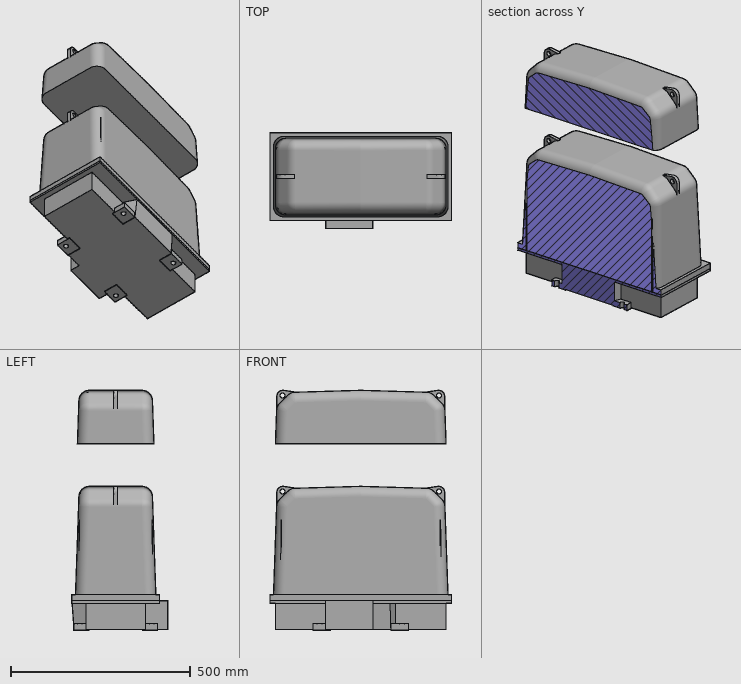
import cadquery as cq
import math

BASE_BOTTOM = 2.0
RIM_BOTTOM = 75.0
PARTING_HEIGHT = 82.5
FLANGE_TOP = 99.0
COVER_PEAK = 402.0
CAP_LIFT = 268.0
CAP_BOTTOM = 520.0

FLANGE_LENGTH = 507.0
FLANGE_WIDTH = 245.0

HOOD_LENGTH = 488.0
HOOD_WIDTH = 225.0
DRAFT_ANGLE = 2.0
ROOF_ANGLE = 1.7
END_CHAMFER = 38.0
EDGE_RADIUS = 30.0

LUG_THICKNESS = 11.5
LUG_REACH = 234.5
LUG_RADIUS = 17.5
LUG_CENTER_HEIGHT = 384.5
LUG_BOTTOM = 335.0
LUG_ROOT = 185.0
LUG_ROOT_HEIGHT = 397.5
LUG_HOLE_X = 218.5
LUG_HOLE_HEIGHT = 387.0
LUG_HOLE_DIAMETER = 13.5

CORNER_HOLE_X = 222.5
CORNER_HOLE_Y = 102.0
CORNER_HOLE_DIAMETER = 2.0

BOX_LENGTH = 477.0
BOX_WIDTH = 166.0
BULGE_ROOT_LENGTH = 194.0
BULGE_TIP_LENGTH = 163.5
BULGE_TIP_Y = 122.0
BULGE_BOTTOM_Y = 116.5
TERMINAL_LEFT = -98.0
TERMINAL_RIGHT = 34.0
TERMINAL_DEPTH = 23.0
FOOT_HEIGHT = 19.0
FOOT_INNER_X = 84.5
FOOT_OUTER_X = 133.5
FOOT_INNER_Y = 75.0
FOOT_OUTER_Y = 117.0
FOOT_HOLE_X = 115.0
FOOT_HOLE_Y = 100.5
FOOT_HOLE_DIAMETER = 13.5


def make_block(x_range, y_range, z_range):
    """Box between two limits along each axis."""
    size = [high - low for low, high in (x_range, y_range, z_range)]
    corner = (x_range[0], y_range[0], z_range[0])
    return cq.Workplane("XY").box(*size, centered=False).translate(corner)


def make_tapered_body():
    """Drafted block with a ridged roof and chamfered ends, rounded on all edges but the bottom ones."""
    height = COVER_PEAK - FLANGE_TOP
    draft = math.tan(math.radians(DRAFT_ANGLE))
    roof_slope = math.tan(math.radians(ROOF_ANGLE))

    half_length = HOOD_LENGTH / 2
    eave_x = half_length - draft * height
    eave_z = COVER_PEAK - roof_slope * eave_x
    chamfer_top_x = eave_x - END_CHAMFER
    chamfer_top_z = COVER_PEAK - roof_slope * chamfer_top_x
    chamfer_side_z = eave_z - END_CHAMFER
    chamfer_side_x = half_length - draft * (chamfer_side_z - FLANGE_TOP)
    long_profile = [
        (-half_length, FLANGE_TOP),
        (-chamfer_side_x, chamfer_side_z),
        (-chamfer_top_x, chamfer_top_z),
        (0, COVER_PEAK),
        (chamfer_top_x, chamfer_top_z),
        (chamfer_side_x, chamfer_side_z),
        (half_length, FLANGE_TOP),
    ]
    half_width = HOOD_WIDTH / 2
    ridge_y = half_width - draft * height
    cross_profile = [
        (-half_width, FLANGE_TOP),
        (-ridge_y, COVER_PEAK),
        (ridge_y, COVER_PEAK),
        (half_width, FLANGE_TOP),
    ]
    lengthwise = cq.Workplane("XZ").polyline(long_profile).close().extrude(half_width, both=True)
    crosswise = cq.Workplane("YZ").polyline(cross_profile).close().extrude(half_length, both=True)
    return lengthwise.intersect(crosswise).edges("not(<Z)").fillet(EDGE_RADIUS)


def make_lug():
    """Upright lug on the +X end; its top falls from the round nose to the roof."""
    center_x = LUG_REACH - LUG_RADIUS
    root_dx = LUG_ROOT - center_x
    root_dz = LUG_ROOT_HEIGHT - LUG_CENTER_HEIGHT
    tangent_angle = math.atan2(root_dz, root_dx) - math.acos(LUG_RADIUS / math.hypot(root_dx, root_dz))

    def nose_point(angle):
        return (center_x + LUG_RADIUS * math.cos(angle), LUG_CENTER_HEIGHT + LUG_RADIUS * math.sin(angle))

    outline = (
        cq.Workplane("XZ")
        .moveTo(LUG_ROOT, LUG_BOTTOM)
        .lineTo(LUG_REACH, LUG_BOTTOM)
        .lineTo(LUG_REACH, LUG_CENTER_HEIGHT)
        .threePointArc(nose_point(tangent_angle / 2), nose_point(tangent_angle))
        .lineTo(LUG_ROOT, LUG_ROOT_HEIGHT)
        .close()
    )
    return outline.extrude(LUG_THICKNESS / 2, both=True)


def make_hood():
    """Tapered body with a lug at each end and the lug holes through it."""
    hood = make_tapered_body()
    lug = make_lug()
    hood = hood.union(lug).union(lug.mirror("YZ"))
    hole = (
        cq.Workplane("XZ")
        .pushPoints([(-LUG_HOLE_X, LUG_HOLE_HEIGHT), (LUG_HOLE_X, LUG_HOLE_HEIGHT)])
        .circle(LUG_HOLE_DIAMETER / 2)
        .extrude(HOOD_WIDTH, both=True)
    )
    return hood.cut(hole)


def make_flange(bottom, top):
    """Rectangular plate over the full plan size of the enclosure."""
    half_length = FLANGE_LENGTH / 2
    half_width = FLANGE_WIDTH / 2
    return make_block((-half_length, half_length), (-half_width, half_width), (bottom, top))


def make_cover():
    """Hood standing on its flange, with a thin hole from below near each corner."""
    cover = make_hood().union(make_flange(PARTING_HEIGHT, FLANGE_TOP))
    corner_holes = (
        cq.Workplane("XY").workplane(offset=PARTING_HEIGHT)
        .rect(2 * CORNER_HOLE_X, 2 * CORNER_HOLE_Y, forConstruction=True).vertices()
        .circle(CORNER_HOLE_DIAMETER / 2).extrude(COVER_PEAK - PARTING_HEIGHT)
    )
    return cover.cut(corner_holes)


def make_cap():
    """Upper part of a second hood, raised above the cover."""
    lifted = make_hood().translate((0, 0, CAP_LIFT))
    lower_part = make_block(
        (-HOOD_LENGTH, HOOD_LENGTH), (-HOOD_WIDTH, HOOD_WIDTH), (FLANGE_TOP, CAP_BOTTOM)
    )
    return lifted.cut(lower_part)


def make_bulge():
    """Middle bulge across the base: slanted sides in plan, front and back leaning in downwards."""
    root_x = BULGE_ROOT_LENGTH / 2
    root_y = BOX_WIDTH / 2
    tip_x = BULGE_TIP_LENGTH / 2
    plan = [
        (-tip_x, -BULGE_TIP_Y),
        (tip_x, -BULGE_TIP_Y),
        (root_x, -root_y),
        (root_x, root_y),
        (tip_x, BULGE_TIP_Y),
        (-tip_x, BULGE_TIP_Y),
        (-root_x, root_y),
        (-root_x, -root_y),
    ]
    cross_profile = [
        (-BULGE_BOTTOM_Y, BASE_BOTTOM),
        (BULGE_BOTTOM_Y, BASE_BOTTOM),
        (BULGE_TIP_Y, RIM_BOTTOM),
        (-BULGE_TIP_Y, RIM_BOTTOM),
    ]
    prism = (
        cq.Workplane("XY").workplane(offset=BASE_BOTTOM).polyline(plan).close()
        .extrude(RIM_BOTTOM - BASE_BOTTOM)
    )
    leaning = cq.Workplane("YZ").polyline(cross_profile).close().extrude(root_x, both=True)
    return prism.intersect(leaning)


def make_base():
    """Box with a rim, a middle bulge, a terminal block and four drilled feet."""
    half_length = BOX_LENGTH / 2
    half_width = BOX_WIDTH / 2
    base = make_flange(RIM_BOTTOM, PARTING_HEIGHT)
    base = base.union(
        make_block((-half_length, half_length), (-half_width, half_width), (BASE_BOTTOM, RIM_BOTTOM))
    )
    base = base.union(make_bulge())

    terminal_front = -FLANGE_WIDTH / 2 - TERMINAL_DEPTH
    base = base.union(
        make_block(
            (TERMINAL_LEFT, TERMINAL_RIGHT), (terminal_front, -half_width), (BASE_BOTTOM, PARTING_HEIGHT)
        )
    )

    foot = make_block((FOOT_INNER_X, FOOT_OUTER_X), (FOOT_INNER_Y, FOOT_OUTER_Y), (0, FOOT_HEIGHT))
    foot_hole = (
        cq.Workplane("XY").center(FOOT_HOLE_X, FOOT_HOLE_Y)
        .circle(FOOT_HOLE_DIAMETER / 2).extrude(FOOT_HEIGHT)
    )
    foot = foot.cut(foot_hole)
    foot_pair = foot.union(foot.mirror("YZ"))
    return base.union(foot_pair).union(foot_pair.mirror("XZ"))


cover = make_cover()
cap = make_cap()
base = make_base()

result = cq.Compound.makeCompound([cover.val(), cap.val(), base.val()])